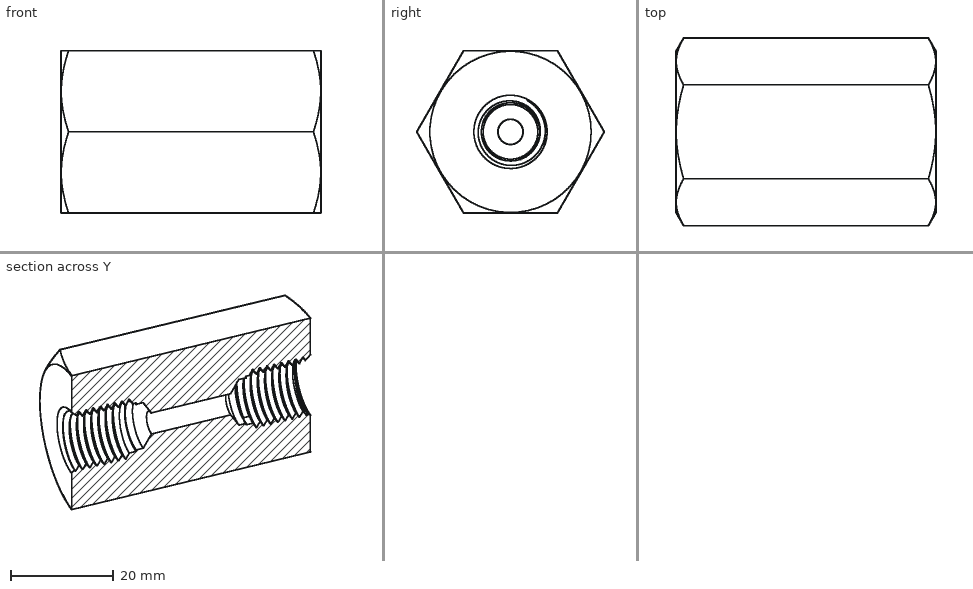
import cadquery as cq
import math


length = 50.8
across_flats = 31.75
across_corners = across_flats / math.cos(math.radians(30))
end_face_diameter = 31.5
end_chamfer_angle = 30.0

passage_diameter = 4.9

mouth_diameter = 14.35
mouth_angle = 45.0
thread_root_diameter = 13.9
thread_crest_diameter = 11.4
thread_pitch = 1.5
thread_half_angle = 30.0
thread_start_angle = -20.0
thread_depth = 13.7
relief_diameter = 10.65
relief_depth = 15.25
seat_half_angle = 59.0

crest_overlap = 0.4
corner_clearance = 0.5


def revolve_about_x(points):
    """Turn a closed outline of (x, radius) points about the X axis."""
    return cq.Workplane("XY").polyline(points).close().revolve(360, (0, 0), (1, 0))


def hexagonal_body():
    """Hexagonal bar with its corners turned down at both ends."""
    bar = (
        cq.Workplane("YZ")
        .polygon(6, across_corners)
        .extrude(length / 2, both=True)
    )
    end_radius = end_face_diameter / 2
    corner_radius = across_corners / 2 + corner_clearance
    chamfer_depth = (corner_radius - end_radius) * math.tan(math.radians(end_chamfer_angle))
    half = length / 2
    envelope = revolve_about_x([
        (-half, 0),
        (-half, end_radius),
        (chamfer_depth - half, corner_radius),
        (half - chamfer_depth, corner_radius),
        (half, end_radius),
        (half, 0),
    ])
    return bar.intersect(envelope)


def port_bore():
    """Countersunk mouth, thread core, relief bore and cone seat of the -X port."""
    face = -length / 2
    mouth_radius = mouth_diameter / 2
    crest_radius = thread_crest_diameter / 2
    relief_radius = relief_diameter / 2
    passage_radius = passage_diameter / 2
    mouth_depth = (mouth_radius - crest_radius) / math.tan(math.radians(mouth_angle))
    seat_length = (relief_radius - passage_radius) / math.tan(math.radians(seat_half_angle))
    return revolve_about_x([
        (face, 0),
        (face, mouth_radius),
        (face + mouth_depth, crest_radius),
        (face + thread_depth, crest_radius),
        (face + thread_depth, relief_radius),
        (face + relief_depth, relief_radius),
        (face + relief_depth + seat_length, passage_radius),
        (face + relief_depth + seat_length, 0),
    ])


def thread_groove():
    """Right-hand V groove of the -X port, starting one pitch outside the end face."""
    start = -length / 2 - thread_pitch
    crest_radius = thread_crest_diameter / 2
    groove_height = thread_root_diameter / 2 - crest_radius
    half_width = groove_height * math.tan(math.radians(thread_half_angle))
    axis = cq.Vector(1, 0, 0)
    travel = thread_pitch + thread_depth - thread_pitch / 2
    helix = cq.Wire.makeHelix(
        thread_pitch,
        travel,
        crest_radius,
        cq.Vector(start, 0, 0),
        axis,
    )
    start_point = helix.startPoint()
    outward = cq.Vector(0, start_point.y, start_point.z).normalized()
    profile = cq.Wire.makePolygon(
        [
            start_point - axis * half_width - outward * crest_overlap,
            start_point - axis * half_width,
            start_point + outward * groove_height,
            start_point + axis * half_width,
            start_point + axis * half_width - outward * crest_overlap,
        ],
        close=True,
    )
    groove = cq.Solid.sweep(profile, [], helix, makeSolid=True, isFrenet=True)
    return cq.Workplane(obj=groove).rotate((0, 0, 0), (1, 0, 0), thread_start_angle)


passage = cq.Workplane("YZ").circle(passage_diameter / 2).extrude(length / 2, both=True)

result = hexagonal_body().cut(passage)
port_cutters = (port_bore(), thread_groove())
for turn in (0, 180):
    for cutter in port_cutters:
        result = result.cut(cutter.rotate((0, 0, 0), (0, 0, 1), turn))